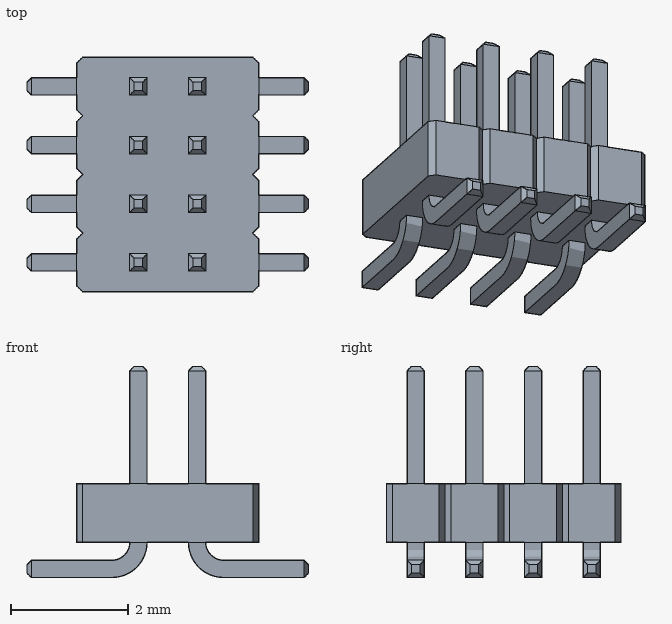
import cadquery as cq


foot_span = 4.8
body_length = 4.0
total_height = 3.6

pins_per_row = 4
pitch = body_length / pins_per_row
body_width = 3.1
body_height = pitch
body_clearance = 0.6
corner_chamfer = 0.1

pin_width = 0.3
tip_taper = 0.075
outer_bend_radius = body_clearance
inner_bend_radius = outer_bend_radius - pin_width
pin_inner_x = (pitch - pin_width) / 2
pin_outer_x = pin_inner_x + pin_width
bend_center_x = pin_outer_x + inner_bend_radius
foot_tip_x = foot_span / 2

cell_positions = [(i - (pins_per_row - 1) / 2) * pitch for i in range(pins_per_row)]


def make_body_cell(y):
    """One pitch of the insulator, with chamfered vertical edges."""
    return (
        cq.Workplane("XY", origin=(0, y, body_clearance))
        .rect(body_width, pitch)
        .extrude(body_height)
        .edges("|Z")
        .chamfer(corner_chamfer)
    )


def make_pin():
    """Pin on the +X side at y = 0: straight post, 90 degree bend and outward foot."""
    return (
        cq.Workplane("XZ")
        .moveTo(pin_inner_x, total_height)
        .lineTo(pin_inner_x, outer_bend_radius)
        .radiusArc((bend_center_x, 0), -outer_bend_radius)
        .lineTo(foot_tip_x, 0)
        .lineTo(foot_tip_x, pin_width)
        .lineTo(bend_center_x, pin_width)
        .radiusArc((pin_outer_x, outer_bend_radius), inner_bend_radius)
        .lineTo(pin_outer_x, total_height)
        .close()
        .extrude(pin_width / 2, both=True)
        .faces(">Z or >X")
        .edges()
        .chamfer(tip_taper)
    )


right_pin = make_pin()
left_pin = right_pin.mirror("YZ")

result = make_body_cell(cell_positions[0])
for y in cell_positions[1:]:
    result = result.union(make_body_cell(y))
for y in cell_positions:
    for pin in (left_pin, right_pin):
        result = result.union(pin.translate((0, y, 0)))
result = result.clean()